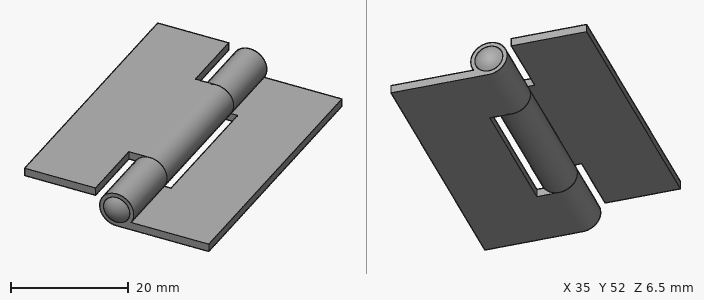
import cadquery as cq


overall_length = 52.0
overall_width = 35.0
knuckle_diameter = 6.5
pin_diameter = 5.0
leaf_thickness = 1.5
leaf_length = 50.0
middle_knuckle_length = 25.0
notch_reach = 4.0

knuckle_radius = knuckle_diameter / 2
pin_radius = pin_diameter / 2
leaf_reach = overall_width / 2
half_leaf = leaf_length / 2
half_middle = middle_knuckle_length / 2
end_knuckle_length = half_leaf - half_middle
dome_height = (overall_length - leaf_length) / 2
dome_radius = (pin_radius**2 + dome_height**2) / (2 * dome_height)


def box_between(x_range, y_range, z_range):
    """Box spanning the given (low, high) ranges along X, Y and Z."""
    lows, highs = zip(x_range, y_range, z_range)
    size = [high - low for low, high in zip(lows, highs)]
    return cq.Workplane("XY").box(*size, centered=False).translate(lows)


def rod(radius, y_start, length):
    """Cylinder on the pin axis, running toward +Y from y_start."""
    return cq.Workplane("XZ", origin=(0, y_start, 0)).circle(radius).extrude(-length)


def make_leaf(knuckle_spans):
    """Leaf toward -X, level with the top of its knuckles.

    knuckle_spans lists the (start, length) of each knuckle along Y.
    """
    z_range = (knuckle_radius - leaf_thickness, knuckle_radius)
    leaf = box_between((-leaf_reach, -notch_reach), (-half_leaf, half_leaf), z_range)
    for start, length in knuckle_spans:
        tab = box_between((-notch_reach, 0), (start, start + length), z_range)
        leaf = leaf.union(tab).union(rod(knuckle_radius, start, length))
    return leaf.cut(rod(pin_radius, -half_leaf, leaf_length))


def make_pin():
    """Round pin with a shallow spherical dome beyond each end of the leaves."""
    half_length = overall_length / 2
    return (
        cq.Workplane("XY")
        .moveTo(0, -half_length)
        .radiusArc((pin_radius, -half_leaf), -dome_radius)
        .lineTo(pin_radius, half_leaf)
        .radiusArc((0, half_length), -dome_radius)
        .close()
        .revolve(360, (0, 0, 0), (0, 1, 0))
    )


upper_leaf = make_leaf([(-half_middle, middle_knuckle_length)])

end_knuckles = [(start, end_knuckle_length) for start in (-half_leaf, half_middle)]
lower_leaf = make_leaf(end_knuckles).rotate((0, 0, 0), (0, 1, 0), 180)

pin = make_pin()

result = cq.Compound.makeCompound([upper_leaf.val(), lower_leaf.val(), pin.val()])